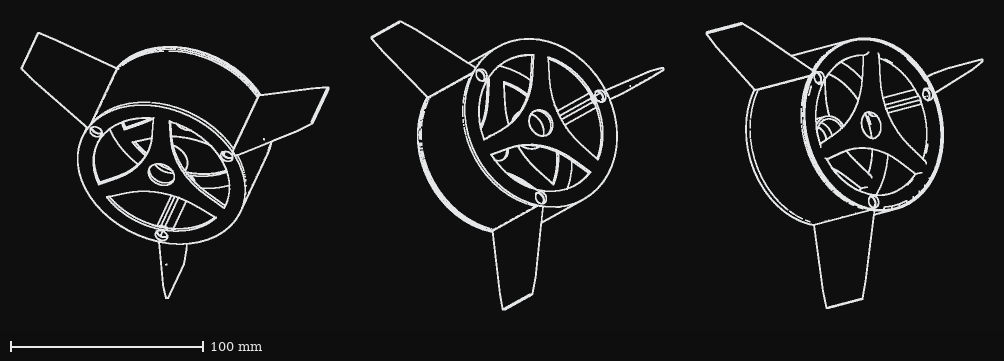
import cadquery as cq
import math

drum_length = 50.0
drum_radius = 45.5
wall_thickness = 0.5
plate_thickness = 3.0
edge_radius = plate_thickness / 2
front_y = -drum_length / 2
back_y = drum_length / 2
inner_y = front_y + plate_thickness
inner_length = drum_length - 2 * plate_thickness
inner_radius = drum_radius - wall_thickness

opening_radius = 37.0
web_offset = 12.3
web_arc_radius = 42.7
web_flank_slope = 0.5

shaft_diameter = 14.0
hub_bore_diameter = 17.9
hub_outer_diameter = 20.9
hub_length = 10.0

pin_circle_radius = 41.0
pin_hole_diameter = 6.5
pin_bore_diameter = 7.1
pin_tube_diameter = 8.2

blade_count = 3
blade_root_radius = 44.1
blade_bend_radius = 81.7
blade_tip_radius = 90.9
blade_tip_half_width = 15.0
blade_thickness = 3.3
blade_tip_thickness = 1.3
nose_radius_ratio = 0.2


def cylinder(radius, start_y, length):
    """Cylinder along +Y, centred on the drum axis."""
    return cq.Workplane("XZ", origin=(0, start_y, 0)).circle(radius).extrude(-length)


def around_axis(body):
    """The body, which belongs to the -Z blade, repeated at every blade position."""
    copies = body
    for index in range(1, blade_count):
        turn = 360 * index / blade_count
        copies = copies.union(body.rotate((0, 0, 0), (0, 1, 0), turn))
    return copies


def pin_cylinder(diameter, start_y, length):
    """Cylinder along +Y at the pin position of the -Z blade."""
    return cylinder(diameter / 2, start_y, length).translate((0, 0, -pin_circle_radius))


def plate_opening():
    """Cutter for the -Z opening: an arc with straight flanks above, the opening circle below."""
    flank_angle = math.atan(web_flank_slope)
    arc_x = web_arc_radius * math.sin(flank_angle)
    arc_z = -web_offset - web_arc_radius * (1 - math.cos(flank_angle))
    end_x = opening_radius
    end_z = arc_z - web_flank_slope * (end_x - arc_x)
    below_web = (
        cq.Workplane("XZ", origin=(0, front_y, 0))
        .moveTo(-end_x, end_z)
        .lineTo(-arc_x, arc_z)
        .threePointArc((0, -web_offset), (arc_x, arc_z))
        .lineTo(end_x, end_z)
        .lineTo(end_x, -drum_radius)
        .lineTo(-end_x, -drum_radius)
        .close()
        .extrude(-drum_length)
    )
    return below_web.intersect(cylinder(opening_radius, front_y, drum_length))


def spoked_plate(start_y, radius, round_rim):
    """Three-spoked plate with its openings, and its rim if wanted, rounded on the +Y side."""
    plate = cylinder(radius, start_y, plate_thickness)
    plate = plate.cut(cylinder(shaft_diameter / 2, start_y, plate_thickness))
    plate = plate.cut(around_axis(plate_opening()))
    rounded_face = plate.faces(">Y").val()
    edges = [edge for wire in rounded_face.innerWires() for edge in wire.Edges()]
    if round_rim:
        edges += rounded_face.outerWire().Edges()
    return plate.newObject([plate.val().fillet(edge_radius, edges)])


def blade_half_width(radius):
    """Half the blade's size along Y at a distance from the drum axis."""
    travel = (radius - blade_root_radius) / (blade_tip_radius - blade_root_radius)
    return drum_length / 2 + travel * (blade_tip_half_width - drum_length / 2)


def blade_section(radius, thickness):
    """Section wire of the -Z blade: small rounded corners at -Y, a full round at +Y."""
    half_width = blade_half_width(radius)
    half_thickness = thickness / 2
    nose = nose_radius_ratio * thickness
    nose_mid = nose * (1 - math.sqrt(0.5))
    tail_y = half_width - half_thickness
    return (
        cq.Workplane("XY", origin=(0, 0, -radius))
        .moveTo(nose - half_thickness, -half_width)
        .lineTo(half_thickness - nose, -half_width)
        .threePointArc(
            (half_thickness - nose_mid, nose_mid - half_width),
            (half_thickness, nose - half_width),
        )
        .lineTo(half_thickness, tail_y)
        .threePointArc((0, half_width), (-half_thickness, tail_y))
        .lineTo(-half_thickness, nose - half_width)
        .threePointArc(
            (nose_mid - half_thickness, nose_mid - half_width),
            (nose - half_thickness, -half_width),
        )
        .close()
        .val()
    )


def blade():
    """The -Z blade: a flat part of even thickness and a thinned tip."""
    root = blade_section(blade_root_radius, blade_thickness)
    bend = blade_section(blade_bend_radius, blade_thickness)
    tip = blade_section(blade_tip_radius, blade_tip_thickness)
    flat_part = cq.Solid.makeLoft([root, bend], True)
    thinned_part = cq.Solid.makeLoft([bend, tip], True)
    return cq.Workplane(flat_part).union(cq.Workplane(thinned_part))


wall = cylinder(drum_radius, front_y, drum_length).cut(cylinder(inner_radius, front_y, drum_length))
front_plate = spoked_plate(front_y, drum_radius, False)
back_plate = spoked_plate(back_y - plate_thickness, inner_radius, True)
drum = wall.union(front_plate).union(back_plate)

hub = cylinder(hub_outer_diameter / 2, inner_y, hub_length)
hub = hub.cut(cylinder(hub_bore_diameter / 2, inner_y, hub_length))
pin_tubes = around_axis(pin_cylinder(pin_tube_diameter, inner_y, inner_length))
pin_tubes = pin_tubes.cut(cylinder(opening_radius, inner_y, inner_length))
body = drum.union(hub).union(pin_tubes).union(around_axis(blade()))

body = body.cut(around_axis(pin_cylinder(pin_hole_diameter, front_y, drum_length)))
result = body.cut(around_axis(pin_cylinder(pin_bore_diameter, inner_y, inner_length)))